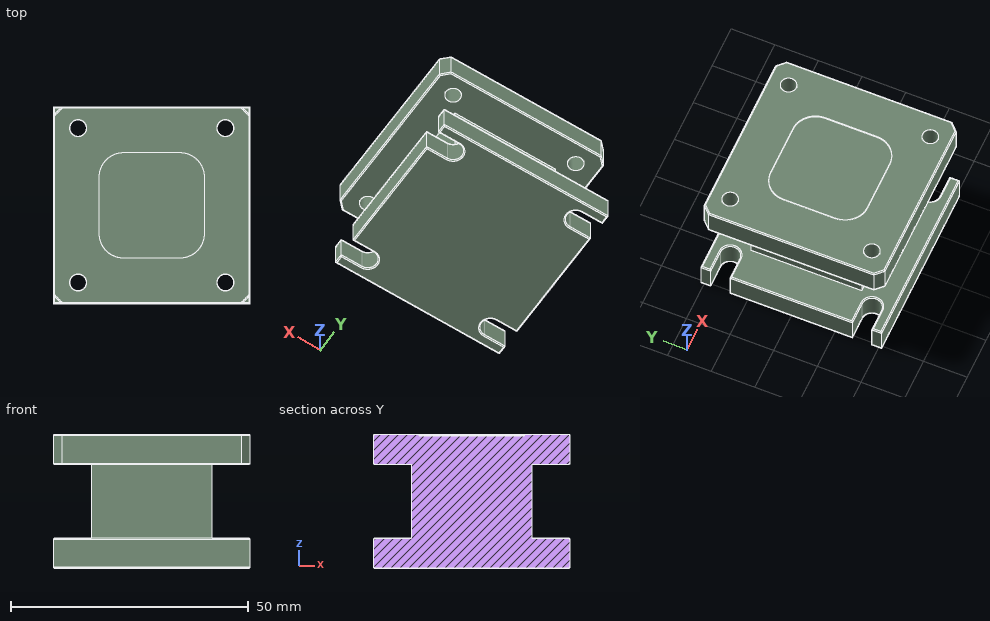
import cadquery as cq

plate_side = 41.4
total_height = 28.2
plate_thickness = 6.38
neck_side = 25.4
edge_chamfer = 0.255

corner_cut = 1.8
hole_diameter = 3.48
recess_side = 22.15
recess_corner_radius = 5.15
recess_depth = 0.3

slot_width = 4.45

fastening_x = 15.5
fastening_y = 16.23

top_plate_bottom = total_height - plate_thickness
neck_height = top_plate_bottom - plate_thickness


def square_block(side, bottom, height):
    """Square block centred on the Z axis."""
    return cq.Workplane("XY").workplane(offset=bottom).rect(side, side).extrude(height)


def make_base():
    """Base plate with two round-ended slots open to each X side, all rims chamfered."""
    base = square_block(plate_side, 0, plate_thickness)
    slot_reach = plate_side / 2
    slot_centres = [
        (sx * (fastening_x + slot_reach / 2), sy * fastening_y) for sx in (-1, 1) for sy in (-1, 1)
    ]
    slots = (
        cq.Workplane("XY")
        .pushPoints(slot_centres)
        .slot2D(slot_reach + slot_width, slot_width)
        .extrude(plate_thickness)
    )
    return base.cut(slots).faces("<Z or >Z").edges().chamfer(edge_chamfer)


def make_top_plate():
    """Top plate with cut corners, four through holes and a shallow recess."""
    plate = square_block(plate_side, top_plate_bottom, plate_thickness)
    plate = plate.edges("|Z").chamfer(corner_cut)
    plate = plate.faces("<Z or >Z").edges().chamfer(edge_chamfer)
    plate = (
        plate.faces(">Z")
        .workplane(origin=(0, 0, total_height))
        .rect(2 * fastening_x, 2 * fastening_y, forConstruction=True)
        .vertices()
        .hole(hole_diameter, plate_thickness)
    )
    recess = square_block(recess_side, total_height - recess_depth, recess_depth)
    return plate.cut(recess.edges("|Z").fillet(recess_corner_radius))


neck = square_block(neck_side, plate_thickness, neck_height)
result = make_base().union(neck).union(make_top_plate())